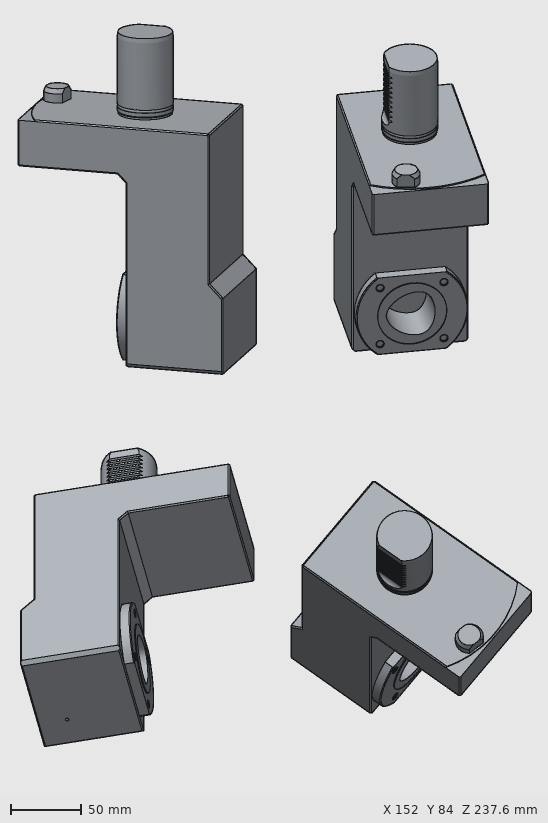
import cadquery as cq
import math


WIDTH = 84.0
ARM_LEFT = -82.0
COLUMN_LEFT = -2.0
COLUMN_RIGHT = 60.0
FOOT_RIGHT = 70.0
HOUSING_BOTTOM = -177.0
ARM_THICKNESS = 35.0
INNER_CORNER = 6.2
STEP_TOP = -110.5
EDGE_CHAMFER = 1.0
BOTTOM_CHAMFER = 2.9

SEAT_RADIUS = 80.8
SEAT_HEIGHT = EDGE_CHAMFER

SHANK_DIAMETER = 40.0
SHANK_END_DIAMETER = 39.0
SHANK_TOP = 59.9
SHANK_LEAD_IN = 3.3
NECK_HEIGHT = 1.5
NECK_TAPER = 0.7
GROOVE_BOTTOM = 5.0
GROOVE_WIDTH = 2.1
RING_CENTRE_DIAMETER = 36.5
RING_SECTION_DIAMETER = 3.0

FLAT_Y = 16.9
FLAT_BOTTOM = 14.3
RUNOUT_RADIUS = 4.0
TOOTH_PITCH = 4.0
TOOTH_COUNT = 10
NOTCH_WIDTH = 2.1
NOTCH_DEPTH = 1.7
FIRST_NOTCH_DROP = 8.0

PIN_DISTANCE = 71.5
PIN_ANGLE = 167.5
PIN_DIAMETER = 20.0
PIN_FLATS = 15.5
PIN_HEIGHT = 10.0
PIN_CHAMFER_WIDTH = 2.0
PIN_CHAMFER_HEIGHT = 3.3

SPINDLE_Z = -145.0
FLANGE_DIAMETER = 80.8
FLANGE_HEIGHT = 63.0
FLANGE_THICKNESS = 7.4
FLANGE_CHAMFER = 0.7
NOSE_DIAMETER = 50.0
NOSE_THICKNESS = 0.7
SCREW_OFFSET = 23.0
SCREW_DIAMETER = 5.0
SCREW_DEPTH = 1.0
SCREW_CHAMFER = 0.5

SOCKET_RADIUS = 17.5
SOCKET_LOBE = 1.1
SOCKET_DEPTH = 30.0
SOCKET_TAPER = 1 / 20
SOCKET_POINTS = 48

BALL_DIAMETER = 3.0
BALL_X = 48.7
BALL_Y = -17.5
BALL_PROTRUSION = 0.7

FLANGE_FACE_X = COLUMN_LEFT - FLANGE_THICKNESS
NOSE_FACE_X = FLANGE_FACE_X - NOSE_THICKNESS


def make_housing():
    step_bottom = STEP_TOP - (FOOT_RIGHT - COLUMN_RIGHT)
    body = (
        cq.Workplane("XZ")
        .moveTo(ARM_LEFT, 0)
        .lineTo(COLUMN_RIGHT, 0)
        .lineTo(COLUMN_RIGHT, STEP_TOP)
        .lineTo(FOOT_RIGHT, step_bottom)
        .lineTo(FOOT_RIGHT, HOUSING_BOTTOM)
        .lineTo(COLUMN_LEFT, HOUSING_BOTTOM)
        .lineTo(COLUMN_LEFT, -ARM_THICKNESS - INNER_CORNER)
        .lineTo(COLUMN_LEFT - INNER_CORNER, -ARM_THICKNESS)
        .lineTo(ARM_LEFT, -ARM_THICKNESS)
        .close()
        .extrude(WIDTH / 2, both=True)
    )
    outer_corners = (
        body.faces(">Z").edges(">X")
        .add(body.faces("<X").edges("<Z"))
        .add(body.faces("<Z").edges("<X or >X"))
    )
    body = outer_corners.chamfer(EDGE_CHAMFER)
    body = body.faces("<Z").edges("<Y or >Y").chamfer(BOTTOM_CHAMFER)
    for side in ("<Y", ">Y"):
        body = body.faces(side).edges("not(<Z)").chamfer(EDGE_CHAMFER)
    return body


def cut_seat(body):
    """Lower the top everywhere outside the circular seat."""
    length = FOOT_RIGHT - ARM_LEFT
    surround = (
        cq.Workplane("XY")
        .workplane(offset=-SEAT_HEIGHT)
        .center(ARM_LEFT + length / 2, 0)
        .rect(length, WIDTH)
        .extrude(SEAT_HEIGHT)
    )
    seat = cq.Workplane("XY").workplane(offset=-SEAT_HEIGHT).circle(SEAT_RADIUS).extrude(SEAT_HEIGHT)
    return body.cut(surround.cut(seat))


def make_shank():
    radius = SHANK_DIAMETER / 2
    end_radius = SHANK_END_DIAMETER / 2
    groove_radius = RING_CENTRE_DIAMETER / 2
    groove_top = GROOVE_BOTTOM + GROOVE_WIDTH
    ring_centre_z = groove_top - RING_SECTION_DIAMETER / 2
    neck_top = NECK_HEIGHT + NECK_TAPER
    shank = (
        cq.Workplane("XZ")
        .moveTo(0, -SEAT_HEIGHT)
        .lineTo(end_radius, -SEAT_HEIGHT)
        .lineTo(end_radius, NECK_HEIGHT)
        .lineTo(radius, neck_top)
        .lineTo(radius, GROOVE_BOTTOM)
        .lineTo(groove_radius, GROOVE_BOTTOM)
        .lineTo(groove_radius, groove_top)
        .lineTo(radius, groove_top)
        .lineTo(radius, SHANK_TOP - SHANK_LEAD_IN)
        .lineTo(end_radius, SHANK_TOP)
        .lineTo(0, SHANK_TOP)
        .close()
        .revolve(360, (0, 0, 0), (0, 1, 0))
    )
    seal_ring = (
        cq.Workplane("XZ")
        .center(groove_radius, ring_centre_z)
        .circle(RING_SECTION_DIAMETER / 2)
        .revolve(360, (-groove_radius, 0, 0), (-groove_radius, 1, 0))
    )
    return shank.cut(make_serration()).union(seal_ring)


def make_serration():
    """Cutter for the flat, its rounded lower end and the V notches across it."""
    corner = RUNOUT_RADIUS * math.sqrt(0.5)
    cutter = (
        cq.Workplane("YZ")
        .moveTo(FLAT_Y, SHANK_TOP)
        .lineTo(FLAT_Y, FLAT_BOTTOM)
        .threePointArc(
            (FLAT_Y + RUNOUT_RADIUS - corner, FLAT_BOTTOM - corner),
            (FLAT_Y + RUNOUT_RADIUS, FLAT_BOTTOM - RUNOUT_RADIUS),
        )
        .lineTo(FLAT_Y + RUNOUT_RADIUS, SHANK_TOP)
        .close()
        .extrude(SHANK_DIAMETER / 2, both=True)
    )
    for index in range(TOOTH_COUNT):
        notch_z = SHANK_TOP - FIRST_NOTCH_DROP - index * TOOTH_PITCH
        notch = (
            cq.Workplane("YZ")
            .moveTo(FLAT_Y, notch_z - NOTCH_WIDTH / 2)
            .lineTo(FLAT_Y - NOTCH_DEPTH, notch_z)
            .lineTo(FLAT_Y, notch_z + NOTCH_WIDTH / 2)
            .close()
            .extrude(SHANK_DIAMETER / 2, both=True)
        )
        cutter = cutter.union(notch)
    return cutter


def make_pin():
    """Round pin with two flats that face along the line to the shank axis."""
    base = -SEAT_HEIGHT
    height = PIN_HEIGHT - base
    pin = (
        cq.Workplane("XY")
        .workplane(offset=base)
        .circle(PIN_DIAMETER / 2)
        .extrude(height)
        .faces(">Z")
        .chamfer(PIN_CHAMFER_HEIGHT, PIN_CHAMFER_WIDTH)
    )
    between_flats = cq.Workplane("XY").workplane(offset=base).rect(PIN_FLATS, PIN_DIAMETER).extrude(height)
    return (
        pin.intersect(between_flats)
        .translate((PIN_DISTANCE, 0, 0))
        .rotate((0, 0, 0), (0, 0, 1), PIN_ANGLE)
    )


def make_flange():
    flange = (
        cq.Workplane("YZ", origin=(COLUMN_LEFT, 0, SPINDLE_Z))
        .circle(FLANGE_DIAMETER / 2)
        .extrude(-FLANGE_THICKNESS)
        .faces("<X")
        .chamfer(FLANGE_CHAMFER)
    )
    between_flats = (
        cq.Workplane("YZ", origin=(COLUMN_LEFT, 0, SPINDLE_Z))
        .rect(FLANGE_DIAMETER, FLANGE_HEIGHT)
        .extrude(-FLANGE_THICKNESS)
    )
    nose = (
        cq.Workplane("YZ", origin=(FLANGE_FACE_X, 0, SPINDLE_Z))
        .circle(NOSE_DIAMETER / 2)
        .extrude(-NOSE_THICKNESS)
    )
    return flange.intersect(between_flats).union(nose)


def make_screw_holes():
    """Shallow round recesses with a chamfered rim."""
    spacing = 2 * SCREW_OFFSET
    centres = cq.Workplane("YZ", origin=(FLANGE_FACE_X, 0, SPINDLE_Z)).rarray(spacing, spacing, 2, 2)
    recesses = centres.circle(SCREW_DIAMETER / 2).extrude(SCREW_DEPTH)
    rims = centres.circle(SCREW_DIAMETER / 2 + SCREW_CHAMFER).extrude(SCREW_CHAMFER, taper=45)
    return recesses.union(rims)


def socket_point(radius, angle):
    """Point on a three-lobed curve of constant width, one lobe toward +Y."""
    y = radius * math.cos(angle) + SOCKET_LOBE * (2 * math.cos(2 * angle) - math.cos(4 * angle))
    z = radius * math.sin(angle) - SOCKET_LOBE * (2 * math.sin(2 * angle) + math.sin(4 * angle))
    return (y, z)


def make_socket():
    floor_radius = SOCKET_RADIUS - SOCKET_DEPTH * SOCKET_TAPER / 2
    angles = [2 * math.pi * step / SOCKET_POINTS for step in range(SOCKET_POINTS)]
    return (
        cq.Workplane("YZ", origin=(NOSE_FACE_X, 0, SPINDLE_Z))
        .spline([socket_point(SOCKET_RADIUS, angle) for angle in angles], periodic=True)
        .close()
        .workplane(offset=SOCKET_DEPTH)
        .spline([socket_point(floor_radius, angle) for angle in angles], periodic=True)
        .close()
        .loft(ruled=True)
    )


def make_coolant_ball():
    radius = BALL_DIAMETER / 2
    centre_z = HOUSING_BOTTOM - BALL_PROTRUSION + radius
    return cq.Workplane("XY").sphere(radius).translate((BALL_X, BALL_Y, centre_z))


result = (
    cut_seat(make_housing())
    .union(make_shank())
    .union(make_pin())
    .union(make_flange())
    .union(make_coolant_ball())
    .cut(make_screw_holes())
    .cut(make_socket())
)